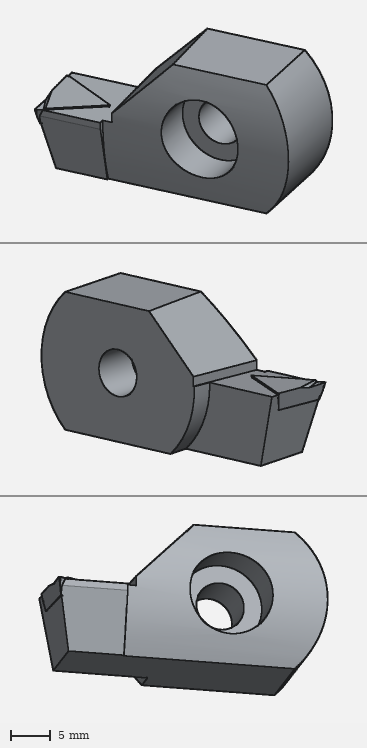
import cadquery as cq
import math


head_radius = 12.4
height = 18.0
half_height = height / 2
head_depth = 12.5
dome_edge_drop = 1.57
dome_radius = (half_height**2 + dome_edge_drop**2) / (2 * dome_edge_drop)
bore_diameter = 6.1
counterbore_diameter = 10.7
counterbore_floor = 6.5

nose_back = 3.05
nose_front = 13.17
nose_end = -13.52
nose_bottom_tip = -20.68
nose_end_relief = 10.9
nose_side_relief = 14.0
nose_side_land = -1.05
raw_top = 2.1

rake = 3.0
seat_height = 0.52
shoulder_x = -12.25
shoulder_top = 1.78

insert_edge_x = -22.53
insert_apex_x = -14.2
insert_centre = 8.98
insert_proud = 0.25
insert_thickness = 2.38
insert_relief = 11.0
corner_flat = 0.17

breaker_foot = 10.27
breaker_land = -0.1
breaker_angle = 20.0
ramp_angle = 36.0
breaker_rise = 1.75

margin = 17.45


def tilt(shape):
    """Tilt a shape about X so that its front end drops by the rake."""
    return shape.rotate((0, 0, 0), (1, 0, 0), rake)


def make_head():
    """Disc with flat top and bottom, joined to the root of the nose under a domed front."""
    disc = cq.Workplane("XZ").circle(head_radius).extrude(head_depth)
    slab = cq.Workplane("XY").box(2 * margin, 2 * head_depth, 2 * half_height)
    root = cq.Workplane("XY").box(
        -nose_end, head_depth - nose_back, half_height + raw_top, centered=False
    ).translate((nose_end, -head_depth, -half_height))
    dome = (
        cq.Workplane("YZ").center(dome_radius - head_depth, 0)
        .circle(dome_radius).extrude(margin, both=True)
    )
    return disc.intersect(slab).union(root).intersect(dome)


def make_nose():
    """Block with a sloping end face and a side face relieved below a narrow land."""
    end_run = (half_height + raw_top) * math.tan(math.radians(nose_end_relief))
    side_run = (nose_side_land + half_height) * math.tan(math.radians(nose_side_relief))
    block = (
        cq.Workplane("XZ")
        .moveTo(nose_bottom_tip, -half_height)
        .lineTo(nose_end, -half_height)
        .lineTo(nose_end, raw_top)
        .lineTo(nose_bottom_tip - end_run, raw_top)
        .close().extrude(nose_front)
    )
    section = (
        cq.Workplane("YZ")
        .moveTo(-nose_back, -half_height)
        .lineTo(-nose_back, raw_top)
        .lineTo(-nose_front, raw_top)
        .lineTo(-nose_front, nose_side_land)
        .lineTo(-nose_front + side_run, -half_height)
        .close().extrude(2 * margin, both=True)
    )
    return block.intersect(section)


def make_clearance():
    """Space above the seat, ending at a short shoulder and a 45 degree slope."""
    return tilt(
        cq.Workplane("XZ")
        .moveTo(-2 * margin, seat_height)
        .lineTo(shoulder_x, seat_height)
        .lineTo(shoulder_x, shoulder_top)
        .lineTo(shoulder_x + margin, shoulder_top + margin)
        .lineTo(-2 * margin, shoulder_top + margin)
        .close().extrude(margin, both=True)
    )


def make_insert_blank():
    """Equilateral insert with relieved sides, before the chip breaker is ground."""
    half_edge = (insert_apex_x - insert_edge_x) * math.tan(math.radians(30))
    flat_run = corner_flat * math.tan(math.radians(60))
    corner_y = half_edge - corner_flat
    return tilt(
        cq.Workplane("XY", origin=(0, -insert_centre, seat_height + insert_proud))
        .moveTo(insert_apex_x, 0)
        .lineTo(insert_edge_x + flat_run, corner_y)
        .lineTo(insert_edge_x, corner_y)
        .lineTo(insert_edge_x, -corner_y)
        .lineTo(insert_edge_x + flat_run, -corner_y)
        .close().extrude(-insert_thickness, taper=insert_relief)
    )


def make_breaker():
    """Space over the chip breaker: a level land with a ramp behind it."""
    sine = math.sin(math.radians(breaker_angle))
    cosine = math.cos(math.radians(breaker_angle))
    plane = cq.Plane(
        origin=(insert_edge_x, -breaker_foot, breaker_land),
        xDir=(-cosine, -sine, 0), normal=(-sine, cosine, 0),
    )
    ramp_run = breaker_rise / math.tan(math.radians(ramp_angle))
    return (
        cq.Workplane(plane)
        .lineTo(margin, 0)
        .lineTo(margin, breaker_rise)
        .lineTo(-ramp_run, breaker_rise)
        .close().extrude(margin, both=True)
    )


def make_holder():
    """Head and nose in one piece, with the stepped bore and the insert pocket."""
    bore = cq.Workplane("XZ").circle(bore_diameter / 2).extrude(head_depth)
    counterbore = (
        cq.Workplane("XZ", origin=(0, -counterbore_floor, 0))
        .circle(counterbore_diameter / 2).extrude(head_depth)
    )
    body = make_head().union(make_nose()).cut(make_clearance())
    return body.cut(bore).cut(counterbore).cut(make_insert_blank())


holder = make_holder()
insert = make_insert_blank().cut(make_breaker())

result = cq.Compound.makeCompound([holder.val(), insert.val()])